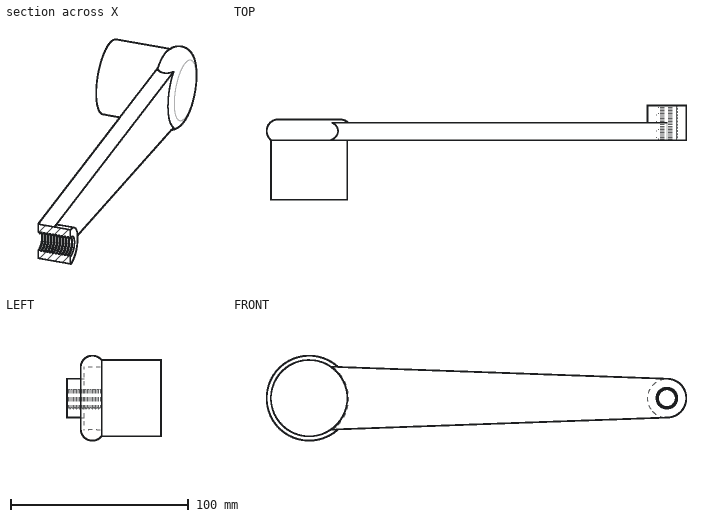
import cadquery as cq

total_length = 236
total_depth = 53.0

knob_radius = 43.0 / 2
head_radius = 48.0 / 2
head_back = 45.3
rim_radius = 6.5
rim_center_y = head_back - rim_radius

arm_front = 33.5
arm_back = 43.5
arm_root_half_width = 18.2
boss_radius = 22.0 / 2
boss_x = total_length - head_radius - boss_radius

thread_minor_radius = 5.0
thread_major_radius = 6.0
groove_count = 11
thread_pitch = (total_depth - arm_front) / groove_count


def cylinder(x, radius, y_start, y_end):
    """Cylinder along +Y centred at (x, z = 0)."""
    plane = cq.Workplane("XZ", origin=(x, y_start, 0))
    return plane.circle(radius).extrude(y_start - y_end)


def make_head():
    """Round disc with a half-round rim; its flat front lies inside the knob."""
    disc_radius = head_radius - rim_radius
    profile = (
        cq.Workplane("XY")
        .moveTo(0, rim_center_y - rim_radius)
        .lineTo(disc_radius, rim_center_y - rim_radius)
        .threePointArc((head_radius, rim_center_y), (disc_radius, head_back))
        .lineTo(0, head_back)
        .close()
    )
    return profile.revolve(360, (0, 0, 0), (0, 1, 0))


def make_arm():
    """Flat tapered arm with a round tip."""
    return (
        cq.Workplane("XZ", origin=(0, arm_front, 0))
        .moveTo(0, -arm_root_half_width)
        .lineTo(boss_x, -boss_radius)
        .threePointArc((boss_x + boss_radius, 0), (boss_x, boss_radius))
        .lineTo(0, arm_root_half_width)
        .close()
        .extrude(arm_front - arm_back)
    )


def make_threaded_hole():
    """Through hole whose wall is a row of V-shaped thread grooves."""
    profile = cq.Workplane("XY").moveTo(0, arm_front).lineTo(thread_major_radius, arm_front)
    for groove in range(groove_count):
        groove_start = arm_front + groove * thread_pitch
        profile = profile.lineTo(thread_minor_radius, groove_start + thread_pitch / 2)
        profile = profile.lineTo(thread_major_radius, groove_start + thread_pitch)
    profile = profile.lineTo(0, total_depth).close()
    return profile.revolve(360, (0, 0, 0), (0, 1, 0)).translate((boss_x, 0, 0))


knob = cylinder(0, knob_radius, 0, rim_center_y)
boss = cylinder(boss_x, boss_radius, arm_front, total_depth)
result = knob.union(make_head()).union(make_arm()).union(boss).cut(make_threaded_hole())